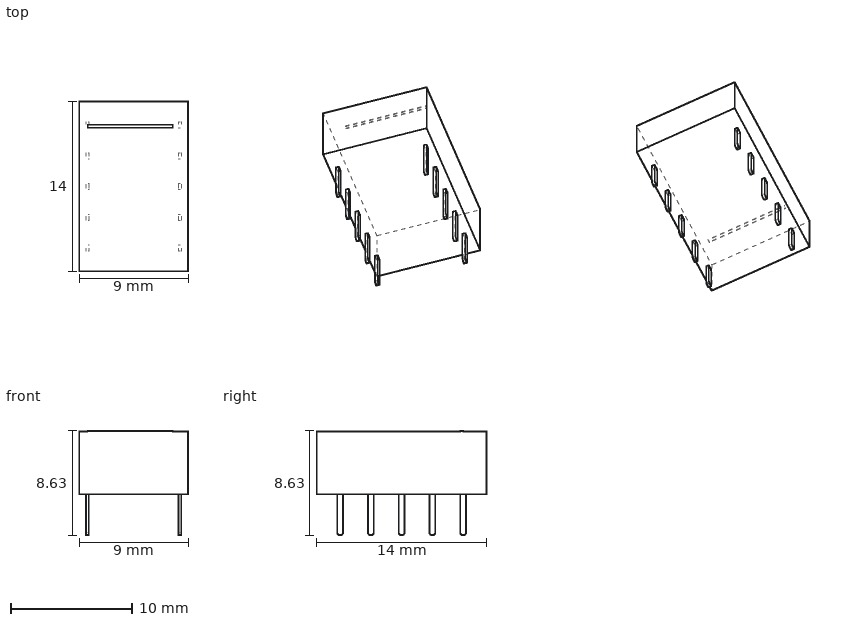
import cadquery as cq

body_width = 9.0
body_length = 14.0
body_height = 5.2

bar_length = 7.0
bar_width = 0.24
bar_height = 0.07
bar_center_x = -0.28
bar_center_y = 4.95

pin_drop = 3.36
pin_thickness = 0.25
pin_width = 0.5
pin_tip_radius = 0.24
pin_pitch = 2.53
pins_per_row = 5
row_spacing = 7.62


def make_body():
    """Plain block with its underside at Z = 0."""
    return cq.Workplane("XY").box(body_width, body_length, body_height, centered=(True, True, False))


def make_marking_bar():
    """Thin bar across the top face."""
    bar = cq.Workplane("XY").box(bar_length, bar_width, bar_height, centered=(True, True, False))
    return bar.translate((bar_center_x, bar_center_y, body_height))


def make_pin(x, y):
    """Flat pin hanging below the body, with its two lower corners rounded."""
    pin = cq.Workplane("XY").box(pin_thickness, pin_width, pin_drop, centered=(True, True, False))
    pin = pin.faces("<Z").edges("|X").fillet(pin_tip_radius)
    return pin.translate((x, y, -pin_drop))


result = make_body().union(make_marking_bar())
for row_x in (-row_spacing / 2, row_spacing / 2):
    for index in range(pins_per_row):
        pin_y = (index - (pins_per_row - 1) / 2) * pin_pitch
        result = result.union(make_pin(row_x, pin_y))